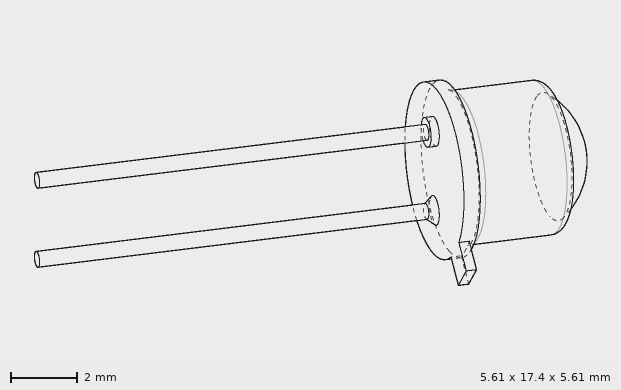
import cadquery as cq
import math

TOTAL_LENGTH = 17.43
LEAD_LENGTH = 12.69

FLANGE_RADIUS = 2.7
FLANGE_THICKNESS = 0.52
TAB_WIDTH = 1.03
TAB_REACH = 3.6
TAB_THICKNESS = 0.33
TAB_ANGLE = 45

CAN_RADIUS = 2.35
CAN_FILLET = 0.3
CAN_TOP = 3.71
LENS_RADIUS = 1.95
LENS_TOP = TOTAL_LENGTH - LEAD_LENGTH

LEAD_RADIUS = 0.25
LEAD_OFFSET = 1.27
COLLAR_RADIUS = 0.45
COLLAR_HEIGHT = 0.26


def revolve_about_y(profile):
    return profile.close().revolve(360, (0, 0, 0), (0, 1, 0))


def make_can():
    """Flange, can wall with a fillet at each end, and spherical lens cap."""
    lens_height = LENS_TOP - CAN_TOP
    sphere_radius = (LENS_RADIUS**2 + lens_height**2) / (2 * lens_height)
    half_angle = math.asin(LENS_RADIUS / sphere_radius) / 2
    sphere_center = LENS_TOP - sphere_radius
    lens_middle = (
        sphere_radius * math.sin(half_angle),
        sphere_center + sphere_radius * math.cos(half_angle),
    )
    profile = (
        cq.Workplane("XY")
        .lineTo(FLANGE_RADIUS, 0)
        .lineTo(FLANGE_RADIUS, FLANGE_THICKNESS)
        .lineTo(CAN_RADIUS + CAN_FILLET, FLANGE_THICKNESS)
        .radiusArc((CAN_RADIUS, FLANGE_THICKNESS + CAN_FILLET), CAN_FILLET)
        .lineTo(CAN_RADIUS, CAN_TOP - CAN_FILLET)
        .radiusArc((CAN_RADIUS - CAN_FILLET, CAN_TOP), -CAN_FILLET)
        .lineTo(LENS_RADIUS, CAN_TOP)
        .threePointArc(lens_middle, (0, LENS_TOP))
    )
    return revolve_about_y(profile)


def make_tab():
    """Radial tab, flush with the flange underside, pointing to +X -Z."""
    return (
        cq.Workplane("XY")
        .box(TAB_REACH, TAB_THICKNESS, TAB_WIDTH, centered=(False, False, True))
        .rotate((0, 0, 0), (0, 1, 0), TAB_ANGLE)
    )


def make_lead():
    return (
        cq.Workplane("XZ", origin=(0, FLANGE_THICKNESS, 0))
        .circle(LEAD_RADIUS)
        .extrude(FLANGE_THICKNESS + LEAD_LENGTH)
    )


def make_collar():
    """Cylindrical insulating collar around the upper lead."""
    return cq.Workplane("XZ").circle(COLLAR_RADIUS).extrude(COLLAR_HEIGHT)


def make_weld():
    """Conical weld bead that tapers from the flange to the lower lead."""
    profile = (
        cq.Workplane("XY")
        .lineTo(COLLAR_RADIUS, 0)
        .lineTo(LEAD_RADIUS, -COLLAR_HEIGHT)
        .lineTo(0, -COLLAR_HEIGHT)
    )
    return revolve_about_y(profile)


upper_lead = make_lead().union(make_collar()).translate((0, 0, LEAD_OFFSET))
lower_lead = make_lead().union(make_weld()).translate((0, 0, -LEAD_OFFSET))
result = make_can().union(make_tab()).union(upper_lead).union(lower_lead)